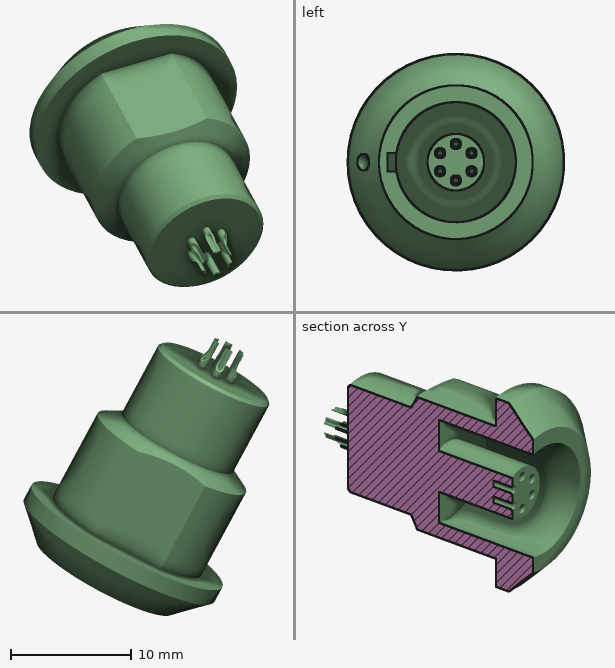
import cadquery as cq
import math


flange_diameter = 18.0
flange_radius = flange_diameter / 2
flange_face_radius = 6.4
flange_cone_length = 2.6
flange_length = 4.0

body_radius = 7.0
body_end = 11.99
body_taper_end = 12.99
across_flats = 12.5

barrel_radius = 5.25
barrel_end = 19.7
barrel_chamfer = 0.27

socket_radius = 5.0
socket_depth = 10.0
keyway_width = 1.55
keyway_reach = 5.65
keyway_length = 8.88

insert_radius = 2.35
insert_face = 2.22

contact_count = 6
contact_circle_radius = 1.5
entry_radius = 0.42
contact_bore_radius = 0.27
contact_bore_depth = 2.0

cup_end = 22.2
cup_radius = 0.35
cup_bore_radius = 0.2
cup_cut_start = 20.22
cup_cut_drop = 0.13
cup_cut_radius = 1.29

mark_radius = 0.69


def cylinder_x(radius, start, end, y=0.0, z=0.0):
    """Cylinder along X between two X positions."""
    return cq.Workplane("YZ", origin=(start, y, z)).circle(radius).extrude(end - start)


def make_shell():
    """Revolved flange, body and rear barrel, without the socket."""
    profile = [
        (0, 0),
        (0, flange_face_radius),
        (flange_cone_length, flange_radius),
        (flange_length, flange_radius),
        (flange_length, body_radius),
        (body_end, body_radius),
        (body_taper_end, barrel_radius),
        (barrel_end - barrel_chamfer, barrel_radius),
        (barrel_end, barrel_radius - barrel_chamfer),
        (barrel_end, 0),
    ]
    return cq.Workplane("XY").polyline(profile).close().revolve(360, (0, 0, 0), (1, 0, 0))


def cut_flats(shell):
    """Two wrench flats, above and below the axis, behind the flange."""
    flat_length = body_taper_end - flange_length
    slab_height = body_radius
    for side in (1, -1):
        slab = cq.Workplane("XY").box(flat_length, 2 * body_radius, slab_height).translate(
            (flange_length + flat_length / 2, 0, side * (across_flats + slab_height) / 2)
        )
        shell = shell.cut(slab)
    return shell


def make_socket():
    """Open socket with a keyway on the +Y side."""
    keyway = cq.Workplane("XY").box(
        keyway_length, keyway_reach, keyway_width, centered=(False, False, True)
    )
    return cylinder_x(socket_radius, 0, socket_depth).union(keyway)


def make_mark():
    """Ball that leaves the alignment mark halfway along the flange cone."""
    mark_y = (flange_face_radius + flange_radius) / 2
    return cq.Workplane("XY").sphere(mark_radius).translate((flange_cone_length / 2, mark_y, 0))


def make_contact_hole(y, z):
    """Blind hole in the front face of the insert with a 45 degree countersunk mouth."""
    mouth_depth = entry_radius - contact_bore_radius
    mouth = cq.Solid.makeCone(
        entry_radius, contact_bore_radius, mouth_depth, cq.Vector(insert_face, y, z), cq.Vector(1, 0, 0)
    )
    bore = cylinder_x(contact_bore_radius, insert_face, insert_face + contact_bore_depth, y, z)
    return bore.union(cq.Workplane(mouth))


def make_solder_cup():
    """Solder cup on the X axis with its opening facing +Z."""
    cup = cylinder_x(cup_radius, barrel_end, cup_end)
    cup = cup.cut(cylinder_x(cup_bore_radius, barrel_end, cup_end))
    floor_z = -cup_cut_drop
    rise = cup_radius - floor_z
    run = math.sqrt(cup_cut_radius**2 - (cup_cut_radius - rise) ** 2)
    half_angle = math.asin(run / cup_cut_radius) / 2
    floor_start = cup_cut_start + run
    middle = (
        floor_start - cup_cut_radius * math.sin(half_angle),
        floor_z + cup_cut_radius * (1 - math.cos(half_angle)),
    )
    opening = (
        cq.Workplane("XZ")
        .moveTo(cup_cut_start, cup_radius)
        .threePointArc(middle, (floor_start, floor_z))
        .lineTo(cup_end, floor_z)
        .lineTo(cup_end, cup_radius)
        .close()
        .extrude(cup_radius, both=True)
    )
    return cup.cut(opening)


result = cut_flats(make_shell())
result = result.cut(make_socket()).cut(make_mark())
result = result.union(cylinder_x(insert_radius, insert_face, socket_depth))

solder_cup = make_solder_cup().translate((0, 0, contact_circle_radius))
for index in range(contact_count):
    angle = index * 360 / contact_count
    y = -contact_circle_radius * math.sin(math.radians(angle))
    z = contact_circle_radius * math.cos(math.radians(angle))
    result = result.cut(make_contact_hole(y, z))
    result = result.union(solder_cup.rotate((0, 0, 0), (1, 0, 0), angle))